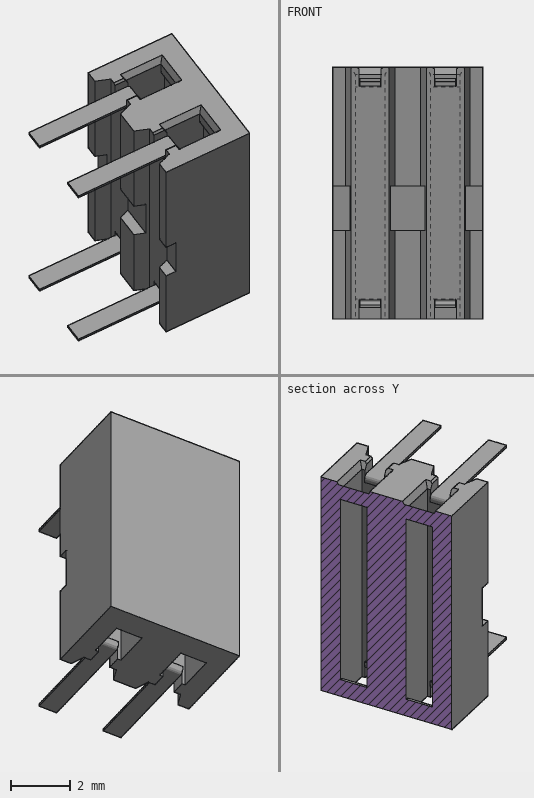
import cadquery as cq


width = 5.08
height = 8.51
total_depth = 6.2

housing_depth = 3.3
pitch = width / 2
position_xs = [-pitch / 2, pitch / 2]

groove_depth = 0.51
groove_floor_width = 1.28
groove_mouth_width = 1.67
groove_floor_y = -housing_depth + groove_depth

notch_depth = 0.38
notch_height = 1.515
notch_drop = 4.01

pocket_width = 1.0
pocket_back_y = -0.9
pocket_front_y = -2.27
pocket_depth = pocket_back_y - pocket_front_y
pocket_center_y = (pocket_back_y + pocket_front_y) / 2
lead_in_width = 0.14
lead_in_depth = 0.255
throat_depth = 0.68
chamber_relief = 0.15

slot_width = 0.75
slot_depth = 0.65
slot_chamfer = 0.07

pin_width = 0.7
pin_thickness = 0.09
pin_drop = 0.39
pin_inner_radius = 0.085
pin_outer_radius = pin_inner_radius + pin_thickness
leg_end_drop = throat_depth


def both_ends(body):
    """The given top-end shape and its mirror image at the bottom end."""
    return [body, body.mirror("XY")]


def make_groove(x):
    """Full-height groove whose sides open out towards the front."""
    return (
        cq.Workplane("XY", origin=(x, 0, -height / 2))
        .moveTo(-groove_floor_width / 2, groove_floor_y)
        .lineTo(groove_floor_width / 2, groove_floor_y)
        .lineTo(groove_mouth_width / 2, -housing_depth)
        .lineTo(-groove_mouth_width / 2, -housing_depth)
        .close()
        .extrude(height)
    )


def make_notch():
    """Rectangular notch cut into the rib faces."""
    notch_bottom_z = height / 2 - notch_drop - notch_height
    return (
        cq.Workplane("XY")
        .box(width, notch_depth, notch_height, centered=(True, False, False))
        .translate((0, -housing_depth, notch_bottom_z))
    )


def make_pocket(x):
    """Through pocket with the relieved chamber in its middle."""
    throat = cq.Workplane("XY").box(pocket_width, pocket_depth, height).translate((x, pocket_center_y, 0))
    chamber_depth = pocket_depth + chamber_relief
    chamber = (
        cq.Workplane("XY")
        .box(pocket_width, chamber_depth, height - 2 * throat_depth, centered=(True, False, True))
        .translate((x, pocket_front_y, 0))
    )
    return throat.union(chamber)


def make_lead_in(x):
    """Flared mouth of a pocket at the top end."""
    return (
        cq.Workplane("XY", origin=(x, pocket_center_y, height / 2))
        .rect(pocket_width + 2 * lead_in_width, pocket_depth + 2 * lead_in_width)
        .workplane(offset=-lead_in_depth)
        .rect(pocket_width, pocket_depth)
        .loft(ruled=True)
    )


def make_slot(x):
    """Top-end slot from the pocket to the groove floor."""
    length = pocket_front_y - groove_floor_y
    return (
        cq.Workplane("XY")
        .box(slot_width, length, slot_depth, centered=(True, False, False))
        .translate((x, groove_floor_y, height / 2 - slot_depth))
    )


def make_slot_chamfer(x):
    """Bevel along the two upper edges of a top-end slot."""
    bottom_half_width = slot_width / 2
    top_half_width = bottom_half_width + slot_chamfer
    top = height / 2
    return (
        cq.Workplane("XZ", origin=(x, pocket_front_y, 0))
        .moveTo(-bottom_half_width, top - slot_chamfer)
        .lineTo(bottom_half_width, top - slot_chamfer)
        .lineTo(top_half_width, top)
        .lineTo(-top_half_width, top)
        .close()
        .extrude(pocket_front_y - groove_floor_y)
    )


def make_housing():
    housing = (
        cq.Workplane("XY")
        .box(width, housing_depth, height)
        .translate((0, -housing_depth / 2, 0))
        .cut(make_notch())
    )
    for x in position_xs:
        housing = housing.cut(make_groove(x)).cut(make_pocket(x))
        housing = housing.cut(make_lead_in(x)).cut(make_slot_chamfer(x))
        for slot in both_ends(make_slot(x)):
            housing = housing.cut(slot)
    return housing


def make_pin(x):
    """Top-end pin: a flat tail through the slot, bent into a short leg against the pocket front wall."""
    tail_top = height / 2 - pin_drop
    tail_bottom = tail_top - pin_thickness
    leg_back_y = pocket_front_y + pin_thickness
    leg_end = height / 2 - leg_end_drop
    outline = (
        cq.Workplane("YZ", origin=(x, 0, 0))
        .moveTo(-total_depth, tail_bottom)
        .lineTo(-total_depth, tail_top)
        .lineTo(leg_back_y - pin_outer_radius, tail_top)
        .radiusArc((leg_back_y, tail_top - pin_outer_radius), pin_outer_radius)
        .lineTo(leg_back_y, leg_end)
        .lineTo(pocket_front_y, leg_end)
        .lineTo(pocket_front_y, tail_bottom - pin_inner_radius)
        .radiusArc((pocket_front_y - pin_inner_radius, tail_bottom), -pin_inner_radius)
        .close()
    )
    return outline.extrude(pin_width / 2, both=True)


housing = make_housing()

pins = []
for x in position_xs:
    pins += both_ends(make_pin(x))

result = cq.Compound.makeCompound([housing.val(), *[pin.val() for pin in pins]])